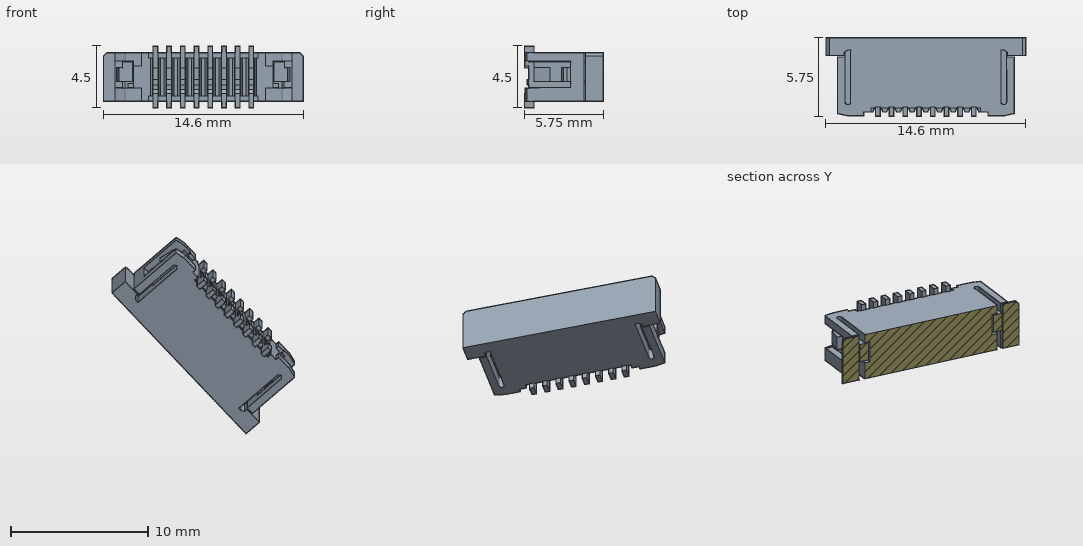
import cadquery as cq


length = 14.6
depth = 5.75
contact_height = 4.5
body_height = 3.56
back_y = depth / 2
contact_front_y = -depth / 2
body_top = body_height / 2

flange_depth = 1.31
flange_front_y = back_y - flange_depth
flange_chamfer = 0.26
flange_gap = 0.09

body_front_y = -2.57
arm_x = 6.45
arm_front_y = -2.83
arm_side_y = -2.67
arm_bend_x = 5.72
arm_tip_x = 4.53

slot_outer_x = 5.88
slot_width = 0.4
slot_inner_x = slot_outer_x - slot_width
slot_front_y = -2.01
slot_back_y = 1.95
slot_neck_x = 5.94
slot_chamfer_x = 0.22
slot_chamfer_y = 0.16

window_back_y = 0.5
window_top = 1.15
window_bottom = -0.77
pocket_inner_x = 5.08
pocket_top = 1.11
pocket_back_bottom = -0.47
mouth_bottom = -0.8
upper_tip_bottom = 0.82

tab_outer_x = 5.91
tab_inner_x = 5.17
tab_front_y = -2.18
tab_back_y = slot_back_y + 0.15
tab_top = 1.08
tab_bottom = -0.34
barb_top = 0.69
barb_back_y = -1.0
barb_back_x = 6.34
barb_front_x = 6.15
bump_x = 6.12
bump_flat_back_y = 0.23
bump_flat_front_y = -0.03
bump_front_y = -0.16

bay_half_width = 3.99
lip_y = -2.25
groove_half_height = 1.39
groove_front_width = 0.75
groove_floor_width = 0.44
contact_count = 8
contact_pitch = 1.0
contact_width = 0.35
tail_back_y = -2.18
tail_bottom = 0.64
web_y = -2.54
nub_y = -2.67
nub_top = -0.19
nub_bottom = -0.6
ramp_top = -0.9
ramp_bottom = -1.2


def box(x0, x1, y0, y1, z0, z1):
    """Axis-aligned block between two opposite corners."""
    size = (abs(x1 - x0), abs(y1 - y0), abs(z1 - z0))
    return cq.Workplane("XY").box(*size, centered=False).translate((min(x0, x1), min(y0, y1), min(z0, z1)))


def prism(points, z0, z1):
    """Plan outline extruded from z0 to z1."""
    return cq.Workplane("XY").workplane(offset=z0).polyline(points).close().extrude(z1 - z0)


def both_sides(shape):
    """The shape together with its mirror image about X = 0."""
    return shape.union(shape.mirror("YZ"))


def housing_blank():
    flange = box(-length / 2, length / 2, flange_front_y, back_y, -body_top, body_top)
    flange = flange.edges("|Y and >Z").chamfer(flange_chamfer)
    neck = box(-slot_neck_x, slot_neck_x, body_front_y, back_y, -body_top, body_top)
    arm_outline = [
        (-arm_x, flange_front_y - flange_gap),
        (-arm_x, arm_side_y),
        (-arm_bend_x, arm_front_y),
        (-arm_tip_x, arm_front_y),
        (-arm_tip_x, flange_front_y - flange_gap),
    ]
    return flange.union(neck).union(both_sides(prism(arm_outline, -body_top, body_top)))


def arm_slot():
    radius = slot_width / 2
    return (
        cq.Workplane("XY")
        .workplane(offset=-body_top)
        .moveTo(-slot_inner_x, slot_back_y)
        .lineTo(-slot_neck_x + slot_chamfer_x, slot_back_y)
        .lineTo(-slot_neck_x, slot_back_y - slot_chamfer_y)
        .lineTo(-slot_neck_x, flange_front_y - flange_gap)
        .lineTo(-slot_outer_x, flange_front_y - flange_gap)
        .lineTo(-slot_outer_x, slot_front_y + radius)
        .threePointArc((-slot_outer_x + radius, slot_front_y), (-slot_inner_x, slot_front_y + radius))
        .close()
        .extrude(body_height)
    )


def tab_pocket():
    window = box(-arm_x, -slot_inner_x, body_front_y, window_back_y, window_bottom, window_top)
    pocket = box(-slot_inner_x, -pocket_inner_x, body_front_y, window_back_y, window_bottom, pocket_top)
    rear = box(-slot_inner_x, -pocket_inner_x, window_back_y, slot_back_y, pocket_back_bottom, pocket_top)
    mouth = box(-arm_x, -pocket_inner_x, arm_front_y, body_front_y, mouth_bottom, window_top)
    tip_gap = box(-pocket_inner_x, -arm_tip_x, arm_front_y, body_front_y, mouth_bottom, upper_tip_bottom)
    floor_channel = box(
        -slot_outer_x, -slot_inner_x, body_front_y, slot_front_y + slot_width / 2, mouth_bottom, window_bottom
    )
    return window.union(pocket).union(rear).union(mouth).union(tip_gap).union(floor_channel)


def solder_tab():
    plate = box(-tab_outer_x, -tab_inner_x, tab_front_y, tab_back_y, tab_bottom, tab_top)
    barb_outline = [
        (-tab_inner_x, barb_back_y),
        (-barb_back_x, barb_back_y),
        (-barb_front_x, tab_front_y),
        (-tab_inner_x, tab_front_y),
    ]
    bump_outline = [
        (-tab_inner_x, window_back_y),
        (-tab_outer_x, window_back_y),
        (-bump_x, bump_flat_back_y),
        (-bump_x, bump_flat_front_y),
        (-tab_outer_x, bump_front_y),
        (-tab_inner_x, bump_front_y),
    ]
    barb = prism(barb_outline, tab_bottom, barb_top)
    bump = prism(bump_outline, tab_bottom, barb_top)
    return plate.union(barb).union(bump)


def contact_groove(x):
    outline = [
        (x - groove_front_width / 2, body_front_y),
        (x - groove_floor_width / 2, lip_y),
        (x + groove_floor_width / 2, lip_y),
        (x + groove_front_width / 2, body_front_y),
    ]
    return prism(outline, -groove_half_height, groove_half_height)


def contact(x):
    profile = [
        (tail_back_y, -contact_height / 2),
        (contact_front_y, -contact_height / 2),
        (contact_front_y, ramp_bottom),
        (web_y, ramp_top),
        (web_y, nub_bottom),
        (nub_y, nub_bottom),
        (nub_y, nub_top),
        (web_y, nub_top),
        (web_y, tail_bottom),
        (contact_front_y, tail_bottom),
        (contact_front_y, contact_height / 2),
        (tail_back_y, contact_height / 2),
    ]
    blade = cq.Workplane("YZ").polyline(profile).close().extrude(contact_width)
    return blade.translate((x - contact_width / 2, 0, 0))


housing = housing_blank().cut(both_sides(arm_slot())).cut(both_sides(tab_pocket()))
result = housing.union(both_sides(solder_tab()))

result = result.cut(
    box(-bay_half_width, bay_half_width, body_front_y, lip_y, groove_half_height, body_top)
).cut(
    box(-bay_half_width, bay_half_width, body_front_y, lip_y, -body_top, -groove_half_height)
)

first_contact_x = -(contact_count - 1) / 2 * contact_pitch
for i in range(contact_count):
    contact_x = first_contact_x + i * contact_pitch
    result = result.cut(contact_groove(contact_x)).union(contact(contact_x))